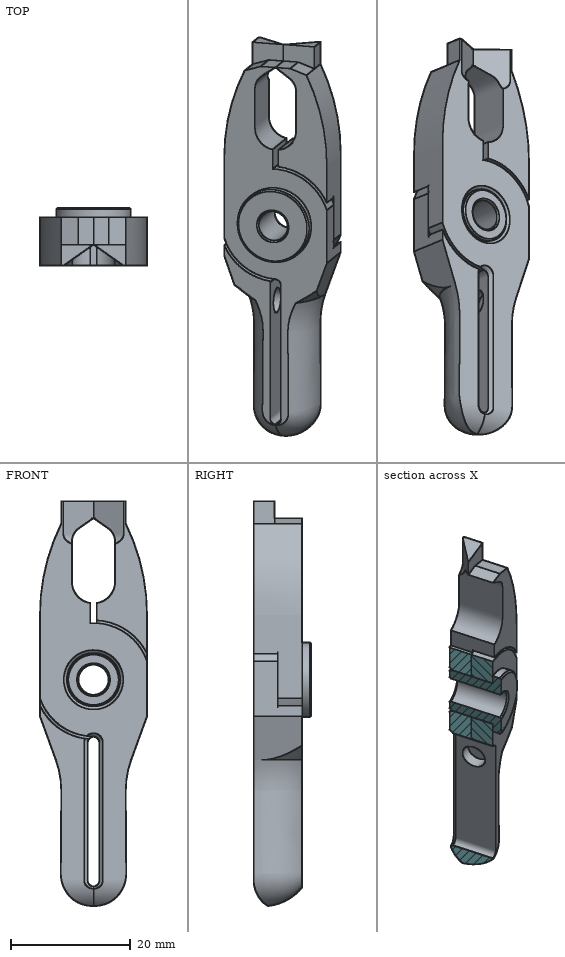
import cadquery as cq
import math


half_width = 18.0 / 2
thickness = 8.15
lap = thickness / 2
top_z = 29.95
bottom_z = -38.05
cut_margin = 1.35

disc_radius = 9.5
pocket_radius = 10.0

tip_half_width = 5.45
jaw_arc_top_z = 26.15
jaw_arc_bottom_z = 10.9
jaw_slit_half_width = 0.51
roof_z = 27.1
roof_flat_half_width = 2.6
tip_depth = 3.5
v_angle = 35.0
v_bottom_z = 24.4
v_bottom_radius = 2.0

window_radius = 3.6
window_arc_z = 16.45
window_eave_radius = 2.7

shoulder_z = -6.1
shoulder_angle = 20.0
neck_radius = 14.95
neck_half_width = 5.45
end_radius = 5.5
end_centre_z = bottom_z + end_radius
back_round_radius = 8.6
back_round_start_y = 1.4
flare_angle = 50.0
nose_start_z = -33.55
nose_radius = 5.2

slot_half_width = 0.95
slot_front_half_width = 1.55
slot_bevel_depth = 0.7
slot_top_centre_z = -10.5
slot_bottom_centre_z = -33.7

seat_radius = 2.1
seat_depth = 2.05
seat_z = -14.2

shank_radius = 4.5
bore_radius = 2.5
flange_radius = 12.6 / 2
total_depth = 9.7
pin_chamfer = 0.3
countersink_radius = 10.0 / 2

shoulder_slope = math.radians(shoulder_angle)
neck_top_x = neck_half_width + neck_radius * (1 - math.cos(shoulder_slope))
neck_top_z = shoulder_z - (half_width - neck_top_x) / math.tan(shoulder_slope)
neck_bottom_z = neck_top_z - neck_radius * math.sin(shoulder_slope)
neck_mid_x = neck_half_width + neck_radius * (1 - math.cos(shoulder_slope / 2))
neck_mid_z = neck_bottom_z + neck_radius * math.sin(shoulder_slope / 2)


def front_plane(y):
    """XZ sketch plane at depth y; a negative extrusion runs toward +Y."""
    return cq.Workplane("XZ", origin=(0, y, 0))


def disc(radius, y_start, y_end):
    return front_plane(y_start).circle(radius).extrude(y_start - y_end)


def block(x_start, x_end, y_start, y_end, z_start, z_end):
    size = (x_end - x_start, y_end - y_start, z_end - z_start)
    return cq.Workplane("XY").box(*size, centered=False).translate((x_start, y_start, z_start))


def plate():
    """Full outline of the closed pliers through the whole thickness."""
    rise = jaw_arc_top_z - jaw_arc_bottom_z
    inset = half_width - tip_half_width
    jaw_arc_radius = (rise**2 + inset**2) / (2 * inset)
    half = (
        front_plane(0)
        .moveTo(0, bottom_z)
        .radiusArc((end_radius, end_centre_z), -end_radius)
        .lineTo(neck_half_width, neck_bottom_z)
        .threePointArc((neck_mid_x, neck_mid_z), (neck_top_x, neck_top_z))
        .lineTo(half_width, shoulder_z)
        .lineTo(half_width, jaw_arc_bottom_z)
        .radiusArc((tip_half_width, jaw_arc_top_z), -jaw_arc_radius)
        .lineTo(tip_half_width, top_z)
        .lineTo(0, top_z)
        .close()
        .extrude(-thickness)
    )
    return half.union(half.mirror("YZ"))


def window():
    """Round-bottomed opening between the jaws, with a pointed top and rounded eaves."""
    roof_slope = math.radians(v_angle)
    eave_z = roof_z - window_radius * math.tan(roof_slope)
    eave_trim = window_eave_radius * math.tan((math.pi / 2 - roof_slope) / 2)
    wall_top_z = eave_z - eave_trim
    roof_foot_x = window_radius - eave_trim * math.cos(roof_slope)
    roof_foot_z = eave_z + eave_trim * math.sin(roof_slope)
    return (
        front_plane(-cut_margin)
        .moveTo(-window_radius, window_arc_z)
        .radiusArc((window_radius, window_arc_z), -window_radius)
        .lineTo(window_radius, wall_top_z)
        .radiusArc((roof_foot_x, roof_foot_z), -window_eave_radius)
        .lineTo(0, roof_z)
        .lineTo(-roof_foot_x, roof_foot_z)
        .radiusArc((-window_radius, wall_top_z), -window_eave_radius)
        .close()
        .extrude(-thickness - 2 * cut_margin)
    )


def roof_cut():
    """Space above the sloping roof behind the jaw tips."""
    return (
        front_plane(tip_depth)
        .moveTo(-tip_half_width, jaw_arc_top_z)
        .lineTo(-roof_flat_half_width, roof_z)
        .lineTo(roof_flat_half_width, roof_z)
        .lineTo(tip_half_width, jaw_arc_top_z)
        .lineTo(half_width, jaw_arc_top_z)
        .lineTo(half_width, top_z + cut_margin)
        .lineTo(-half_width, top_z + cut_margin)
        .lineTo(-half_width, jaw_arc_top_z)
        .close()
        .extrude(-thickness)
    )


def v_cut():
    """V notch in the front of the tips, each face running out in a hollow round at its foot."""
    slope = math.radians(v_angle)
    along_face = cq.Vector(math.cos(slope), -math.sin(slope), 0)
    off_face = cq.Vector(-math.sin(slope), -math.cos(slope), 0)
    face_plane = cq.Plane(origin=(0, tip_depth, 0), xDir=off_face, normal=-along_face)
    face_length = tip_depth / math.sin(slope)
    right = (
        cq.Workplane(face_plane)
        .moveTo(0, top_z + cut_margin)
        .lineTo(0, v_bottom_z)
        .radiusArc((v_bottom_radius, v_bottom_z - v_bottom_radius), -v_bottom_radius)
        .lineTo(tip_depth, v_bottom_z - v_bottom_radius)
        .lineTo(tip_depth, top_z + cut_margin)
        .close()
        .extrude(-face_length)
    )
    return right.union(right.mirror("YZ"))


def back_rounding():
    """Material outside the rounded back edges of the handles."""
    axis_x = end_radius - back_round_radius
    round_depth = thickness - back_round_start_y
    back_x = axis_x + math.sqrt(back_round_radius**2 - round_depth**2)

    flare_z = shoulder_z
    flare_x = neck_top_x + (flare_z - neck_top_z) * math.tan(math.radians(flare_angle))
    shaft = (
        cq.Workplane("XZ", origin=(axis_x, back_round_start_y, 0))
        .moveTo(0, end_centre_z)
        .lineTo(end_radius - axis_x, end_centre_z)
        .lineTo(neck_half_width - axis_x, neck_bottom_z)
        .threePointArc((neck_mid_x - axis_x, neck_mid_z), (neck_top_x - axis_x, neck_top_z))
        .lineTo(flare_x - axis_x, flare_z)
        .lineTo(0, flare_z)
        .close()
        .revolve(360, (0, 0, 0), (0, 1, 0))
    )
    end = (
        cq.Workplane("XY", origin=(0, 0, end_centre_z))
        .moveTo(0, 0)
        .lineTo(end_radius, 0)
        .lineTo(end_radius, back_round_start_y)
        .radiusArc((back_x, thickness), -back_round_radius)
        .lineTo(0, thickness)
        .close()
        .revolve(360, (0, 0, 0), (0, 1, 0))
    )
    right = block(
        0, half_width, back_round_start_y, thickness, bottom_z - cut_margin, flare_z
    ).cut(shaft).cut(end)
    return right.union(right.mirror("YZ"))


def nose_cut():
    """Material in front of the rounded nose at the handle ends."""
    return (
        cq.Workplane("YZ", origin=(-half_width, 0, 0))
        .moveTo(0, nose_start_z)
        .radiusArc((nose_radius, nose_start_z - nose_radius), -nose_radius)
        .lineTo(-cut_margin, nose_start_z - nose_radius)
        .lineTo(-cut_margin, nose_start_z)
        .close()
        .extrude(2 * half_width)
    )


def handle_slot():
    """Slot between the handles with a bevelled front edge."""
    centre_z = (slot_top_centre_z + slot_bottom_centre_z) / 2
    centre_distance = slot_top_centre_z - slot_bottom_centre_z
    bevel_width = slot_front_half_width - slot_half_width
    bevel_taper = math.degrees(math.atan2(bevel_width, slot_bevel_depth))
    through = (
        front_plane(-cut_margin)
        .center(0, centre_z)
        .slot2D(centre_distance + 2 * slot_half_width, 2 * slot_half_width, 90)
        .extrude(-thickness - 2 * cut_margin)
    )
    bevel = (
        front_plane(0)
        .center(0, centre_z)
        .slot2D(centre_distance + 2 * slot_front_half_width, 2 * slot_front_half_width, 90)
        .extrude(-slot_bevel_depth, taper=bevel_taper)
    )
    return through.union(bevel)


def spring_seats():
    """Round blind holes into both slot walls, drilled along X at mid thickness."""
    reach = slot_half_width + seat_depth
    return (
        cq.Workplane("YZ", origin=(-reach, 0, 0))
        .center(lap, seat_z)
        .circle(seat_radius)
        .extrude(2 * reach)
    )


def shaped_plate():
    """Closed pliers as one plate, ready to be split into the two levers."""
    return (
        plate()
        .cut(window())
        .cut(roof_cut())
        .cut(v_cut())
        .cut(back_rounding())
        .cut(nose_cut())
        .cut(handle_slot())
        .cut(spring_seats())
    )


def lever(blank, jaw_side, lap_start):
    """One lever: jaw on jaw_side (-1 or 1), handle opposite, lap disc starting at depth lap_start."""
    other_start = lap - lap_start
    jaw_edges = sorted((jaw_side * jaw_slit_half_width, jaw_side * half_width))
    handle_edges = sorted((0, -jaw_side * half_width))
    tip_edges = sorted((0, jaw_side * half_width))
    region = (
        block(*jaw_edges, 0, thickness, 0, window_arc_z)
        .union(block(*tip_edges, 0, thickness, window_arc_z, top_z))
        .union(block(*handle_edges, 0, thickness, bottom_z, 0))
        .cut(disc(pocket_radius, other_start, other_start + lap))
        .union(disc(disc_radius, lap_start, lap_start + lap))
    )
    return blank.intersect(region).cut(disc(shank_radius, 0, thickness))


def countersink():
    """45 degree countersink round the pin in the front face."""
    depth = countersink_radius - shank_radius
    return front_plane(0).circle(countersink_radius).extrude(-depth, taper=45)


def pin():
    """Hollow pin, flush with the front face and flanged behind the back face."""
    shank = disc(shank_radius, 0, thickness).faces("<Y").chamfer(pin_chamfer)
    flange = disc(flange_radius, thickness, total_depth).faces(">Y").chamfer(pin_chamfer)
    bore = disc(bore_radius, 0, total_depth)
    bore_rims = cq.selectors.RadiusNthSelector(0)
    return shank.union(flange).cut(bore).faces("<Y or >Y").edges(bore_rims).chamfer(pin_chamfer)


blank = shaped_plate()
front_lever = lever(blank, -1, 0).cut(countersink())
back_lever = lever(blank, 1, lap)
pivot_pin = pin()

result = cq.Compound.makeCompound([front_lever.val(), back_lever.val(), pivot_pin.val()])